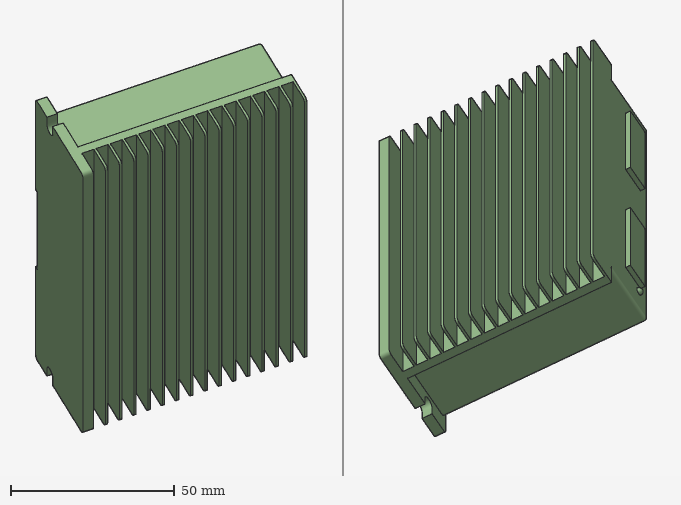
import cadquery as cq

WIDTH = 35.0
DEPTH = 77.2
HEIGHT = 118.0
LEFT = -WIDTH / 2
RIGHT = WIDTH / 2

CORNER_RADIUS = 1.5

FLANGE_THICKNESS = 3.5
RECESS_DEPTH = 1.3
RECESS_HEIGHT = 35.2
SLOT_WIDTH = 4.2
SLOT_DEPTH = 5.3
SLOT_X = LEFT + 10.6

CONNECTOR_PROJECTION = 1.7
BACK = DEPTH - CONNECTOR_PROJECTION
FIN_LENGTH = 8.5
FIN_THICKNESS = 0.8
FIN_COUNT = 15
BASE_THICKNESS = 3.0
FIN_ROOT_X = RIGHT - FIN_LENGTH
BASE_X = FIN_ROOT_X - BASE_THICKNESS

HOUSING_LEFT = LEFT + RECESS_DEPTH
HOUSING_HEIGHT = 103.0
HOUSING_EDGE_RADIUS = 1.0

CONNECTOR_LEFT = LEFT + 5.8
CONNECTOR_WIDTH = 9.1
UPPER_CONNECTOR_HEIGHT = 30.6
UPPER_CONNECTOR_Z = 28.5
LOWER_CONNECTOR_HEIGHT = 31.3
LOWER_CONNECTOR_Z = -24.2
LAMP_RADIUS = 1.3
LAMP_X = CONNECTOR_LEFT + 1.0
LAMP_Z = -42.6


def block(x_min, x_max, y_min, y_max, height, z_centre=0):
    """Box between the given X and Y limits, centred on z_centre."""
    return cq.Workplane("XY").box(x_max - x_min, y_max - y_min, height).translate(
        ((x_min + x_max) / 2, (y_min + y_max) / 2, z_centre)
    )


def make_flange():
    flange = block(LEFT, RIGHT, 0, FLANGE_THICKNESS, HEIGHT)
    flange = flange.edges("|Y").fillet(CORNER_RADIUS)
    flange = flange.cut(block(LEFT, HOUSING_LEFT, 0, FLANGE_THICKNESS, RECESS_HEIGHT))

    slots = (
        cq.Workplane("XZ")
        .pushPoints([(SLOT_X, HEIGHT / 2), (SLOT_X, -HEIGHT / 2)])
        .slot2D(2 * SLOT_DEPTH, SLOT_WIDTH, 90)
        .extrude(-FLANGE_THICKNESS)
    )
    return flange.cut(slots)


def make_heat_sink():
    heat_sink = block(BASE_X, FIN_ROOT_X, FLANGE_THICKNESS, BACK, HEIGHT)
    pitch = (BACK - FLANGE_THICKNESS) / FIN_COUNT
    for i in range(FIN_COUNT):
        fin_back = BACK - i * pitch
        fin = block(FIN_ROOT_X, RIGHT, fin_back - FIN_THICKNESS, fin_back, HEIGHT)
        heat_sink = heat_sink.union(fin.edges("|Y and >X").fillet(CORNER_RADIUS))
    return heat_sink


def make_housing():
    housing = block(HOUSING_LEFT, BASE_X, FLANGE_THICKNESS, BACK, HOUSING_HEIGHT)
    return housing.edges("(<X or >Y) and (not >X) and (not <Y)").fillet(HOUSING_EDGE_RADIUS)


def make_connector(height, z_centre):
    return block(CONNECTOR_LEFT, CONNECTOR_LEFT + CONNECTOR_WIDTH, BACK, DEPTH, height, z_centre)


def make_lamp():
    return cq.Workplane("XY").sphere(LAMP_RADIUS).translate((LAMP_X, BACK, LAMP_Z))


result = (
    make_flange()
    .union(make_heat_sink())
    .union(make_housing())
    .union(make_connector(UPPER_CONNECTOR_HEIGHT, UPPER_CONNECTOR_Z))
    .union(make_connector(LOWER_CONNECTOR_HEIGHT, LOWER_CONNECTOR_Z))
    .union(make_lamp())
)